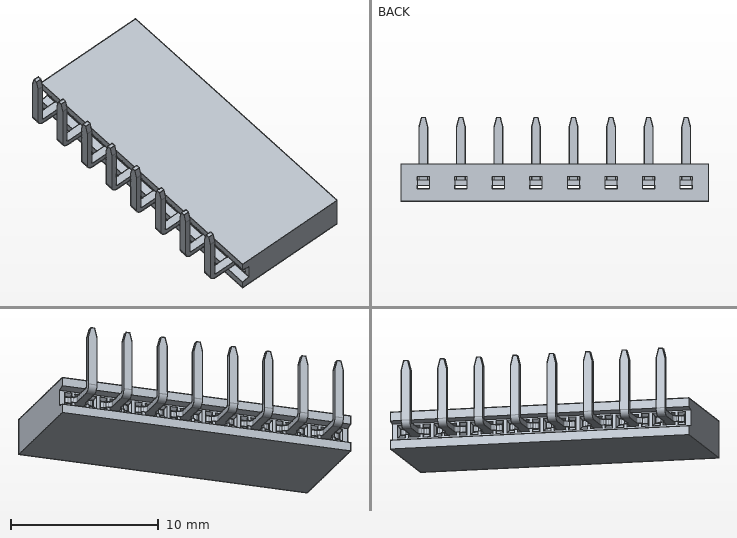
import cadquery as cq
import math

PIN_COUNT = 8
PITCH = 2.55

LENGTH = 20.82
DEPTH = 8.47
HEIGHT = 2.55
MID_Z = HEIGHT / 2

RECESS_DEPTH = 0.56
RECESS_FRONT_HEIGHT = 1.33
RECESS_WALL_HEIGHT = 1.08

HOLE_SIDE = 0.81

POCKET_INNER_X = 0.62
POCKET_OUTER_X = 1.15
POCKET_MOUTH_HEIGHT = 0.87
POCKET_DEPTH = 0.23
POCKET_END_HEIGHT = 0.48

THICKNESS = 0.4
BLADE_HALF_WIDTH = 1.02
BLADE_END_Y = 4.16
CORNER_RADIUS = 0.2
SHOULDER_INNER_X = 0.62
FLARE_START_Y = 0.37
FLARE_END_X = 0.48
FLARE_ANGLE = math.radians(60)

PIN_WIDTH = 0.6
PIN_FRONT_Y = -1.83
PIN_TOP_Z = 5.68
BEND_INNER_RADIUS = 0.1
BEND_OUTER_RADIUS = BEND_INNER_RADIUS + THICKNESS
TIP_LENGTH = 0.65
TIP_WIDTH = 0.27

SLOT_BOTTOM_Z = MID_Z - THICKNESS / 2
SLOT_TOP_Z = MID_Z + THICKNESS / 2

PIN_POSITIONS = [(i - (PIN_COUNT - 1) / 2) * PITCH for i in range(PIN_COUNT)]


def box_between(x_range, y_range, z_range):
    """Box given by its lower and upper limit along each axis."""
    (x0, x1), (y0, y1), (z0, z1) = x_range, y_range, z_range
    return cq.Workplane("XY").box(x1 - x0, y1 - y0, z1 - z0, centered=False).translate((x0, y0, z0))


def make_recess():
    """Trapezoidal groove along the front face that narrows towards its wall."""
    front = RECESS_FRONT_HEIGHT / 2
    wall = RECESS_WALL_HEIGHT / 2
    return (
        cq.Workplane("YZ")
        .polyline([
            (0, MID_Z - front),
            (RECESS_DEPTH, MID_Z - wall),
            (RECESS_DEPTH, MID_Z + wall),
            (0, MID_Z + front),
        ])
        .close()
        .extrude(LENGTH / 2, both=True)
    )


def make_lead_in():
    """Pocket on the +X side of a contact, tapering inward from the recess wall."""
    mouth_width = POCKET_OUTER_X - POCKET_INNER_X
    end_width = BLADE_HALF_WIDTH - POCKET_INNER_X
    mouth_plane = cq.Plane(origin=(POCKET_INNER_X, RECESS_DEPTH, MID_Z), xDir=(1, 0, 0), normal=(0, 1, 0))
    return (
        cq.Workplane(mouth_plane)
        .center(mouth_width / 2, 0)
        .rect(mouth_width, POCKET_MOUTH_HEIGHT)
        .workplane(offset=POCKET_DEPTH)
        .center((end_width - mouth_width) / 2, 0)
        .rect(end_width, POCKET_END_HEIGHT)
        .loft(ruled=True)
    )


def make_cavity():
    """Everything removed from the housing for one contact, centred on X = 0."""
    half_hole = HOLE_SIDE / 2
    hole = box_between(
        (-half_hole, half_hole),
        (RECESS_DEPTH, DEPTH),
        (MID_Z - half_hole, MID_Z + half_hole),
    )
    slot = box_between(
        (-BLADE_HALF_WIDTH, BLADE_HALF_WIDTH),
        (RECESS_DEPTH, BLADE_END_Y),
        (SLOT_BOTTOM_Z, SLOT_TOP_Z),
    )
    lead_in = make_lead_in()
    return hole.union(slot).union(lead_in).union(lead_in.mirror("YZ"))


def make_housing():
    block = box_between((-LENGTH / 2, LENGTH / 2), (0, DEPTH), (0, HEIGHT))
    housing = block.cut(make_recess())
    cavity = make_cavity()
    for x in PIN_POSITIONS:
        housing = housing.cut(cavity.translate((x, 0, 0)))
    return housing


def make_blade():
    """Flat blade that flares from the pin width out to rounded shoulders."""
    neck_x = PIN_WIDTH / 2
    flare_radius = (FLARE_END_X - neck_x) / (1 - math.cos(FLARE_ANGLE))
    flare_end_y = FLARE_START_Y + flare_radius * math.sin(FLARE_ANGLE)
    flare_mid_x = neck_x + flare_radius * (1 - math.cos(FLARE_ANGLE / 2))
    flare_mid_y = FLARE_START_Y + flare_radius * math.sin(FLARE_ANGLE / 2)
    shoulder_y = flare_end_y + (SHOULDER_INNER_X - FLARE_END_X) / math.tan(FLARE_ANGLE)
    half_blade = (
        cq.Workplane("XY")
        .workplane(offset=SLOT_BOTTOM_Z)
        .moveTo(0, FLARE_START_Y)
        .lineTo(neck_x, FLARE_START_Y)
        .threePointArc((flare_mid_x, flare_mid_y), (FLARE_END_X, flare_end_y))
        .lineTo(SHOULDER_INNER_X, shoulder_y)
        .lineTo(BLADE_HALF_WIDTH - CORNER_RADIUS, shoulder_y)
        .radiusArc((BLADE_HALF_WIDTH, shoulder_y + CORNER_RADIUS), -CORNER_RADIUS)
        .lineTo(BLADE_HALF_WIDTH, BLADE_END_Y)
        .lineTo(0, BLADE_END_Y)
        .close()
        .extrude(THICKNESS)
    )
    return half_blade.union(half_blade.mirror("YZ"))


def make_pin():
    """L-shaped pin with a rounded bend and a tip that narrows in X."""
    back_y = PIN_FRONT_Y + THICKNESS
    bent_strip = (
        cq.Workplane("YZ")
        .moveTo(FLARE_START_Y, SLOT_BOTTOM_Z)
        .lineTo(PIN_FRONT_Y + BEND_OUTER_RADIUS, SLOT_BOTTOM_Z)
        .radiusArc((PIN_FRONT_Y, SLOT_BOTTOM_Z + BEND_OUTER_RADIUS), BEND_OUTER_RADIUS)
        .lineTo(PIN_FRONT_Y, PIN_TOP_Z)
        .lineTo(back_y, PIN_TOP_Z)
        .lineTo(back_y, SLOT_TOP_Z + BEND_INNER_RADIUS)
        .radiusArc((back_y + BEND_INNER_RADIUS, SLOT_TOP_Z), -BEND_INNER_RADIUS)
        .lineTo(FLARE_START_Y, SLOT_TOP_Z)
        .close()
        .extrude(PIN_WIDTH / 2, both=True)
    )
    tip_start_z = PIN_TOP_Z - TIP_LENGTH
    front_outline = (
        cq.Workplane("XZ")
        .polyline([
            (-PIN_WIDTH / 2, 0),
            (PIN_WIDTH / 2, 0),
            (PIN_WIDTH / 2, tip_start_z),
            (TIP_WIDTH / 2, PIN_TOP_Z),
            (-TIP_WIDTH / 2, PIN_TOP_Z),
            (-PIN_WIDTH / 2, tip_start_z),
        ])
        .close()
        .extrude(DEPTH, both=True)
    )
    return bent_strip.intersect(front_outline)


def make_contact(x):
    return make_blade().union(make_pin()).translate((x, 0, 0))


housing = make_housing()
contacts = [make_contact(x) for x in PIN_POSITIONS]

result = cq.Compound.makeCompound([housing.val(), *[contact.val() for contact in contacts]])